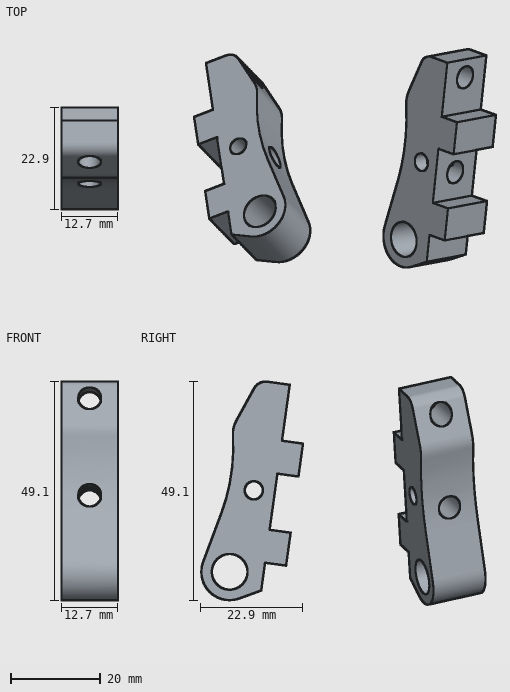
import cadquery as cq
import math

width = 12.7
tilt = 7.9
face_length = 46.6

tab_length = 4.75
tab_height = 7.5
tab_gap = 12.65
tab_pitch = tab_height + tab_gap
tab_count = 2

pivot_reach = 7.6
pivot_drop = 43.45
pivot_bore = 7.95
lug_radius = 6.4

flank_lean = 12.6
waist_bottom_drop = 30.7
shoulder_reach = 11.5
shoulder_drop = 11.4
shoulder_radius = 6.0
nose_reach = 7.1
nose_radius = 3.0

screw_diameter = 5.15
upper_screw_drop = 4.25
lower_screw_drop = tab_gap + tab_height + tab_gap / 2
cross_diameter = 4.0
cross_reach = 4.75
cross_drop = 24.6


def lug_point(angle):
    """Point on the lug rim, at an angle in radians above the forward direction."""
    return (
        -pivot_reach - lug_radius * math.cos(angle),
        -pivot_drop + lug_radius * math.sin(angle),
    )


def make_body():
    corner_drop = face_length - pivot_drop
    corner_distance = math.hypot(pivot_reach, corner_drop)
    corner_angle = math.atan2(-corner_drop, -pivot_reach)
    heel_angle = corner_angle + math.acos(lug_radius / corner_distance)

    flank_angle = math.radians(flank_lean)
    flank_start = lug_point(flank_angle)
    flank_rise = -waist_bottom_drop - flank_start[1]
    waist_bottom = (flank_start[0] + flank_rise * math.tan(flank_angle), -waist_bottom_drop)
    shoulder = (-shoulder_reach, -shoulder_drop)
    nose = (-nose_reach, 0)

    body = (
        cq.Workplane("YZ")
        .moveTo(0, 0)
        .lineTo(0, -face_length)
        .lineTo(*lug_point(heel_angle))
        .threePointArc(lug_point((heel_angle + flank_angle) / 2), flank_start)
        .lineTo(*waist_bottom)
        .tangentArcPoint(shoulder, relative=False)
        .lineTo(*nose)
        .close()
        .extrude(width / 2, both=True)
    )
    body = round_edge(body, shoulder, shoulder_radius)
    return round_edge(body, nose, nose_radius)


def round_edge(body, corner, radius):
    """Round the edge along X that passes through a (Y, Z) corner."""
    edge = cq.selectors.NearestToPointSelector((0, *corner))
    return body.edges("|X").edges(edge).fillet(radius)


def make_tab(index):
    middle_drop = tab_gap + tab_height / 2 + index * tab_pitch
    return cq.Workplane("XY").box(width, 2 * tab_length, tab_height).translate((0, 0, -middle_drop))


def make_bore(diameter, reach, drop):
    """Cylinder along X across the full width."""
    return (
        cq.Workplane("YZ")
        .center(-reach, -drop)
        .circle(diameter / 2)
        .extrude(width, both=True)
    )


def make_screw_hole(drop):
    """Cylinder along Y through the front and the mounting face."""
    return (
        cq.Workplane("XZ")
        .center(0, -drop)
        .circle(screw_diameter / 2)
        .extrude(2 * shoulder_reach, both=True)
    )


arm = make_body()
for tab_index in range(tab_count):
    arm = arm.union(make_tab(tab_index))

arm = arm.cut(make_bore(pivot_bore, pivot_reach, pivot_drop))
arm = arm.cut(make_bore(cross_diameter, cross_reach, cross_drop))
for screw_drop in (upper_screw_drop, lower_screw_drop):
    arm = arm.cut(make_screw_hole(screw_drop))

result = arm.rotate((0, 0, 0), (1, 0, 0), -tilt)